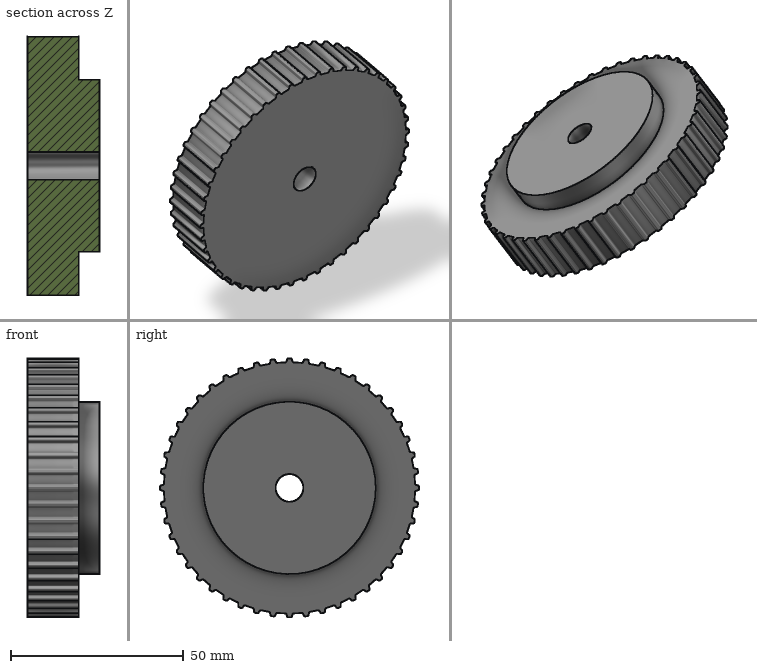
import cadquery as cq
import math

tooth_count = 48
outside_diameter = 75.15
groove_depth = 1.1
groove_floor_width = 2.8
groove_flank_angle = 23.0
root_round_radius = 0.3
tip_round_radius = 0.45
toothed_width = 14.95
overall_width = 21.0
hub_diameter = 50.0
bore_diameter = 8.0

tooth_pitch_angle = 360.0 / tooth_count
outside_radius = outside_diameter / 2
floor_radius = outside_radius - groove_depth


def groove_cutter():
    """Flaring groove with a concentric floor and rounded roots, centred on the +Y axis."""
    cutter_height = 2 * groove_depth
    floor_half = groove_floor_width / 2
    mouth_half = floor_half + cutter_height * math.tan(math.radians(groove_flank_angle))
    root_y = math.sqrt(floor_radius**2 - floor_half**2)
    return (
        cq.Workplane("YZ")
        .moveTo(root_y, -floor_half)
        .lineTo(root_y + cutter_height, -mouth_half)
        .lineTo(root_y + cutter_height, mouth_half)
        .lineTo(root_y, floor_half)
        .threePointArc((floor_radius, 0), (root_y, -floor_half))
        .close()
        .extrude(toothed_width)
        .edges("|X")
        .edges("<Y")
        .fillet(root_round_radius)
        .val()
    )


def is_tip_edge(edge):
    """True for an edge on the outside diameter rather than down in a groove."""
    center = edge.Center()
    radius = math.hypot(center.y, center.z)
    return math.isclose(radius, outside_radius, rel_tol=1e-4)


def toothed_rim():
    """Disc with one groove per tooth pitch and rounded tooth tips."""
    rim = cq.Workplane("YZ").circle(outside_radius).extrude(toothed_width)
    cutter = groove_cutter()
    grooves = []
    for index in range(tooth_count):
        angle = (index + 0.5) * tooth_pitch_angle
        grooves.append(cutter.rotate(cq.Vector(0, 0, 0), cq.Vector(1, 0, 0), angle))
    rim = rim.cut(cq.Workplane(cq.Compound.makeCompound(grooves)))

    tip_edges = [edge for edge in rim.edges("|X").vals() if is_tip_edge(edge)]
    return rim.newObject(tip_edges).fillet(tip_round_radius)


hub = cq.Workplane("YZ").circle(hub_diameter / 2).extrude(overall_width)
bore = cq.Workplane("YZ").circle(bore_diameter / 2).extrude(overall_width)
result = toothed_rim().union(hub).cut(bore)